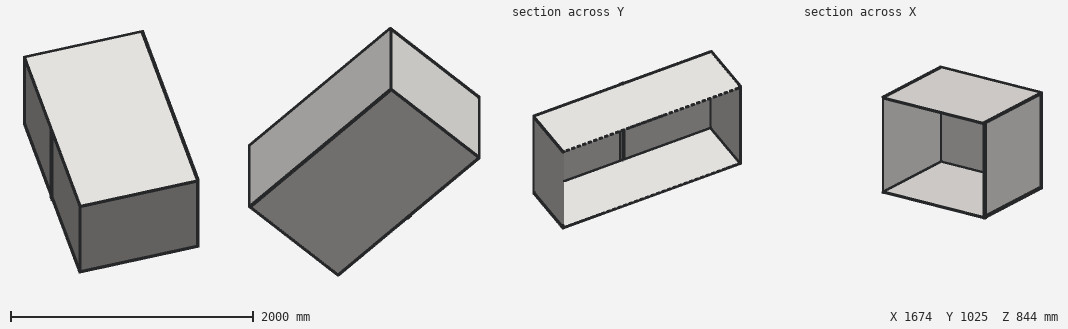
import cadquery as cq

width = 1674.0
depth = 1025.0
height = 844.0

panel_thickness = 12.0
door_thickness = 6.0
strip_thickness = 6.0
strip_width = 40.0

strip_front = -depth / 2
door_front = strip_front + strip_thickness
door_back = door_front + door_thickness
back_rear = depth / 2
back_front = back_rear - panel_thickness

side_inner = width / 2 - panel_thickness
deck_inner = height / 2 - panel_thickness


def block(x_range, y_range, z_range):
    """Make a rectangular sheet from its lower and upper limits on each axis."""
    ranges = (x_range, y_range, z_range)
    lengths = [upper - lower for lower, upper in ranges]
    corner = tuple(lower for lower, upper in ranges)
    return cq.Workplane("XY").box(*lengths, centered=False).translate(corner)


full_width = (-width / 2, width / 2)
full_height = (-height / 2, height / 2)
carcass_depth = (door_back, back_front)


def make_back():
    """Back panel, covering the rear edges of the decks and sides."""
    return block(full_width, (back_front, back_rear), full_height)


def make_deck(bottom):
    """Horizontal top or bottom panel, running over the side panels."""
    return block(full_width, carcass_depth, (bottom, bottom + panel_thickness))


def make_side(left):
    """Side panel, standing between the two decks."""
    return block((left, left + panel_thickness), carcass_depth, (-deck_inner, deck_inner))


def make_door(left):
    """Door leaf, covering half of the front."""
    return block((left, left + width / 2), (door_front, door_back), full_height)


def make_cover_strip():
    """Full-height strip over the joint between the doors."""
    return block((-strip_width / 2, strip_width / 2), (strip_front, door_front), full_height)


back = make_back()
decks = [make_deck(bottom) for bottom in (-height / 2, deck_inner)]
sides = [make_side(left) for left in (-width / 2, side_inner)]
doors = [make_door(left) for left in (-width / 2, 0)]
cover_strip = make_cover_strip()

bodies = [back, *decks, *sides, *doors, cover_strip]
result = cq.Compound.makeCompound([body.val() for body in bodies])